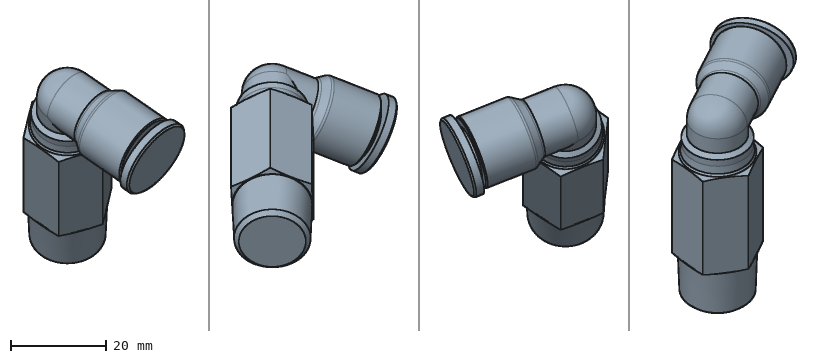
import cadquery as cq
import math

total_height = 55.45
socket_radius = 8.15
branch_axis_z = total_height - socket_radius
button_end_x = 25.0

thread_length = 12.0
thread_top_radius = 8.43
thread_taper = 1 / 32
thread_tip_chamfer = 1.0

hex_across_flats = 17.0
hex_top_z = 38.25
hex_face_radius = 8.3
hex_chamfer_angle = 15.0

collar_foot_radius = 8.2
collar_base_radius = 7.85
collar_base_z = hex_top_z + 0.5
collar_taper_top_z = branch_axis_z - 6.55
collar_radius = 7.65
collar_shoulder_z = branch_axis_z - 4.9
collar_top_z = branch_axis_z - 4.0

elbow_radius = 6.5

socket_step_x = 7.55
socket_cone_start_x = 8.1
socket_cone_start_radius = 6.8
socket_body_x = 10.1
socket_shoulder_fillet = 1.0
socket_end_x = 21.8
socket_end_chamfer = 0.3

button_neck_radius = 5.87
button_flange_x = 22.8
button_width = 18.5
button_height = 16.0
button_chamfer = 0.4


def branch_plane(x):
    """Plane across the branch axis at x, with local X along +Y and local Y along +Z."""
    return cq.Workplane("YZ", origin=(x, 0, branch_axis_z))


def make_thread():
    tip_radius = thread_top_radius - thread_length * thread_taper
    chamfer_radius = thread_top_radius - (thread_length - thread_tip_chamfer) * thread_taper
    return (
        cq.Workplane("XZ")
        .moveTo(0, 0)
        .lineTo(tip_radius - thread_tip_chamfer, 0)
        .lineTo(chamfer_radius, thread_tip_chamfer)
        .lineTo(thread_top_radius, thread_length)
        .lineTo(0, thread_length)
        .close()
        .revolve(360, (0, 0), (0, 1))
    )


def make_hexagon():
    corner_radius = hex_across_flats / math.sqrt(3)
    prism = (
        cq.Workplane("XY")
        .workplane(offset=thread_length)
        .polygon(6, 2 * corner_radius)
        .extrude(hex_top_z - thread_length)
    )
    chamfer_height = (corner_radius - hex_face_radius) * math.tan(math.radians(hex_chamfer_angle))
    blank = (
        cq.Workplane("XZ")
        .moveTo(0, thread_length)
        .lineTo(hex_face_radius, thread_length)
        .lineTo(corner_radius, thread_length + chamfer_height)
        .lineTo(corner_radius, hex_top_z - chamfer_height)
        .lineTo(hex_face_radius, hex_top_z)
        .lineTo(0, hex_top_z)
        .close()
        .revolve(360, (0, 0), (0, 1))
    )
    return prism.intersect(blank)


def make_collar():
    return (
        cq.Workplane("XZ")
        .moveTo(0, hex_top_z)
        .lineTo(collar_foot_radius, hex_top_z)
        .lineTo(collar_base_radius, collar_base_z)
        .lineTo(collar_radius, collar_taper_top_z)
        .lineTo(collar_radius, collar_shoulder_z)
        .lineTo(elbow_radius, collar_top_z)
        .lineTo(0, collar_top_z)
        .close()
        .revolve(360, (0, 0), (0, 1))
    )


def make_elbow():
    column = (
        cq.Workplane("XY")
        .workplane(offset=hex_top_z)
        .circle(elbow_radius)
        .extrude(branch_axis_z - hex_top_z)
    )
    branch = branch_plane(0).circle(elbow_radius).extrude(socket_step_x)
    ball = cq.Workplane("XY").sphere(elbow_radius).translate((0, 0, branch_axis_z))
    return column.union(branch).union(ball)


def make_socket():
    body = (
        cq.Workplane("XZ", origin=(0, 0, branch_axis_z))
        .moveTo(socket_step_x, 0)
        .lineTo(socket_step_x, elbow_radius)
        .lineTo(socket_cone_start_x, socket_cone_start_radius)
        .lineTo(socket_body_x, socket_radius)
        .lineTo(socket_end_x - socket_end_chamfer, socket_radius)
        .lineTo(socket_end_x, socket_radius - socket_end_chamfer)
        .lineTo(socket_end_x, 0)
        .close()
        .revolve(360, (0, 0), (1, 0))
    )
    shoulder = cq.selectors.BoxSelector(
        (socket_body_x - socket_end_chamfer, -socket_radius, branch_axis_z - socket_radius),
        (socket_body_x + socket_end_chamfer, socket_radius, branch_axis_z + socket_radius),
        boundingbox=False,
    )
    return body.edges("%CIRCLE").edges(shoulder).fillet(socket_shoulder_fillet)


def make_button():
    neck = (
        branch_plane(socket_end_x)
        .circle(button_neck_radius)
        .extrude(button_flange_x - socket_end_x)
    )
    flange = (
        branch_plane(button_flange_x)
        .ellipse(button_width / 2, button_height / 2)
        .extrude(button_end_x - button_flange_x)
        .faces(">X")
        .chamfer(button_chamfer)
    )
    return neck.union(flange)


result = (
    make_thread()
    .union(make_hexagon())
    .union(make_collar())
    .union(make_elbow())
    .union(make_socket())
    .union(make_button())
)